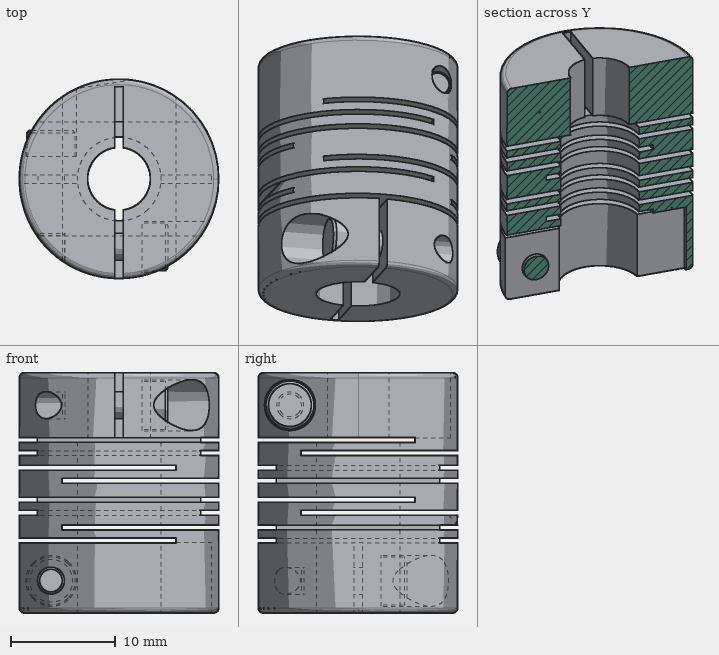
import cadquery as cq

LENGTH = 23.0
OUTER_RADIUS = 9.55
RIM_FILLET = 0.5
TOP_BORE_RADIUS = 3.0
LOWER_BORE_RADIUS = 4.0

SLIT_HEIGHT = 0.45
SLIT_REACH = 5.45
SLIT_PAIR_PITCH = 1.25
TOP_HUB_LENGTH = 6.2
SLIT_PAIRS = [
    (0.0, "+Y", "-Y"),
    (2.67, "+X", "-X"),
    (5.73, "+Y", "-Y"),
    (8.37, "-X", "+X"),
]

CLAMP_SLOT_WIDTH = 0.8
CLAMP_SLOT_END = 8.8
BOTTOM_CLAMP_SLOT_DEPTH = 6.76

SCREW_OFFSET = 6.5
SCREW_FROM_END = 3.1
SCREW_RADIUS = 1.29
SCREW_TIP_CHAMFER = 0.2
SCREW_TIP = -5.4
HEAD_SEAT = 2.18
HEAD_END = 4.67
HEAD_RADIUS = 2.3
HEAD_CHAMFER = 0.25
COUNTERBORE_RADIUS = 2.44


def box_between(x_range, y_range, z_range):
    """Box between the given limits along X, Y and Z."""
    sizes = [high - low for low, high in (x_range, y_range, z_range)]
    corner = (x_range[0], y_range[0], z_range[0])
    return cq.Workplane("XY").box(*sizes, centered=False).translate(corner)


def rod_along_x(start, end, radius):
    """Cylinder along X on the axis of the top clamp screw."""
    center = (-SCREW_OFFSET, LENGTH - SCREW_FROM_END)
    return cq.Workplane("YZ", origin=(start, 0, 0)).center(*center).circle(radius).extrude(end - start)


def slit(top, kept_side):
    """Slit through the whole wall except for the segment on the kept side."""
    width = 2 * OUTER_RADIUS
    cutter = box_between(
        (-width, SLIT_REACH), (-width, width), (top - SLIT_HEIGHT, top)
    )
    angle = {"+X": 0, "+Y": 90, "-X": 180, "-Y": 270}[kept_side]
    return cutter.rotate((0, 0, 0), (0, 0, 1), angle)


def clamp_slot(depth):
    """Slot of the top hub, open toward -Y."""
    half_width = CLAMP_SLOT_WIDTH / 2
    return box_between(
        (-half_width, half_width), (-2 * OUTER_RADIUS, CLAMP_SLOT_END), (LENGTH - depth, LENGTH)
    )


def screw():
    """Top clamp screw with its head toward +X."""
    shank = rod_along_x(SCREW_TIP, HEAD_SEAT, SCREW_RADIUS).faces("<X").chamfer(SCREW_TIP_CHAMFER)
    head = rod_along_x(HEAD_SEAT, HEAD_END, HEAD_RADIUS).faces(">X").chamfer(HEAD_CHAMFER)
    return shank.union(head)


def screw_hole():
    """Hole and counterbore of the top clamp screw."""
    hole = rod_along_x(-OUTER_RADIUS, HEAD_SEAT, SCREW_RADIUS)
    return hole.union(rod_along_x(HEAD_SEAT, OUTER_RADIUS, COUNTERBORE_RADIUS))


def at_bottom(shape):
    """Half turn about the line X = Y at mid-length, which carries the top hub to the bottom hub."""
    return shape.rotate((0, 0, LENGTH / 2), (0.23, 0.23, LENGTH / 2), 180)


body = cq.Workplane("XY").circle(OUTER_RADIUS).extrude(LENGTH)
body = body.faces("<Z or >Z").edges().fillet(RIM_FILLET)
top_hub_floor = LENGTH - TOP_HUB_LENGTH
body = body.cut(cq.Workplane("XY").circle(TOP_BORE_RADIUS).extrude(LENGTH))
body = body.cut(cq.Workplane("XY").circle(LOWER_BORE_RADIUS).extrude(top_hub_floor))

for drop, upper_kept_side, lower_kept_side in SLIT_PAIRS:
    upper_top = top_hub_floor - drop
    body = body.cut(slit(upper_top, upper_kept_side))
    body = body.cut(slit(upper_top - SLIT_PAIR_PITCH, lower_kept_side))

body = body.cut(clamp_slot(TOP_HUB_LENGTH))
body = body.cut(at_bottom(clamp_slot(BOTTOM_CLAMP_SLOT_DEPTH)))

body = body.cut(screw_hole()).cut(at_bottom(screw_hole()))
result = body.union(screw()).union(at_bottom(screw()))